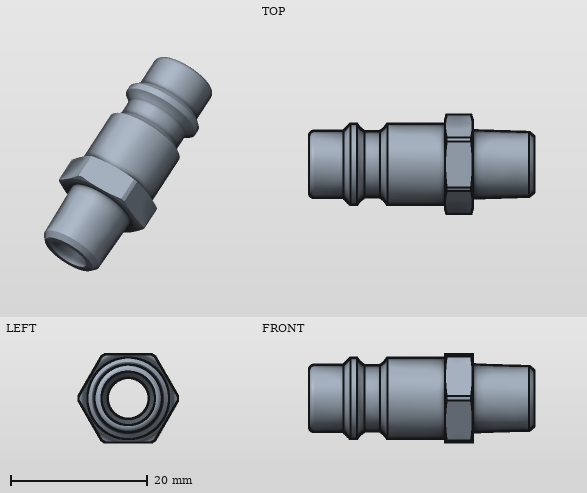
import cadquery as cq
import math

total_length = 33.15
flange_start = 5.07
flange_crest_start = 6.1
flange_crest_end = 7.03
groove_start = 8.15
groove_end = 10.45
body_start = 11.55
hex_start = 20.0
hex_end = 24.07

tip_diameter = 9.9
tip_round = 0.83
groove_diameter = 9.75
groove_ramp_hollow = 0.1
body_diameter = 12.0

hex_across_flats = 13.0
hex_corner_diameter = 14.65
hex_bevel_length = 0.23

taper_ratio = 1 / 16
taper_small_diameter = 9.55
end_bevel_length = 0.8
end_face_diameter = 8.2

through_bore_diameter = 6.0
plug_bore_diameter = 7.85
plug_bore_depth = hex_start
drill_point_angle = 118.0


def revolve_about_x(profile):
    """Turn a closed (x, radius) profile about the X axis."""
    return profile.close().revolve(360, (0, 0, 0), (1, 0, 0))


def make_turned_body():
    tip_radius = tip_diameter / 2
    body_radius = body_diameter / 2
    groove_radius = groove_diameter / 2
    taper_end = total_length - end_bevel_length
    taper_large_diameter = taper_small_diameter + taper_ratio * (taper_end - hex_end)
    arc_offset = tip_round * (1 - math.sqrt(0.5))
    profile = (
        cq.Workplane("XY")
        .lineTo(0, tip_radius - tip_round)
        .threePointArc((arc_offset, tip_radius - arc_offset), (tip_round, tip_radius))
        .lineTo(flange_start, tip_radius)
        .lineTo(flange_crest_start, body_radius)
        .lineTo(flange_crest_end, body_radius)
        .sagittaArc((groove_start, groove_radius), -groove_ramp_hollow)
        .lineTo(groove_end, groove_radius)
        .sagittaArc((body_start, body_radius), -groove_ramp_hollow)
        .lineTo(hex_end, body_radius)
        .lineTo(hex_end, taper_large_diameter / 2)
        .lineTo(taper_end, taper_small_diameter / 2)
        .lineTo(total_length, end_face_diameter / 2)
        .lineTo(total_length, 0)
    )
    return revolve_about_x(profile)


def make_hexagon():
    sharp_corner_diameter = hex_across_flats / math.cos(math.radians(30))
    prism = (
        cq.Workplane("YZ", origin=(hex_start, 0, 0))
        .polygon(6, sharp_corner_diameter)
        .extrude(hex_end - hex_start)
    )
    face_radius = hex_across_flats / 2
    corner_radius = hex_corner_diameter / 2
    turned_envelope = revolve_about_x(
        cq.Workplane("XY")
        .moveTo(hex_start, 0)
        .lineTo(hex_start, face_radius)
        .lineTo(hex_start + hex_bevel_length, corner_radius)
        .lineTo(hex_end - hex_bevel_length, corner_radius)
        .lineTo(hex_end, face_radius)
        .lineTo(hex_end, 0)
    )
    return prism.intersect(turned_envelope)


def make_bore():
    plug_radius = plug_bore_diameter / 2
    through_radius = through_bore_diameter / 2
    cone_length = (plug_radius - through_radius) / math.tan(math.radians(drill_point_angle / 2))
    profile = (
        cq.Workplane("XY")
        .lineTo(0, plug_radius)
        .lineTo(plug_bore_depth, plug_radius)
        .lineTo(plug_bore_depth + cone_length, through_radius)
        .lineTo(total_length, through_radius)
        .lineTo(total_length, 0)
    )
    return revolve_about_x(profile)


result = make_turned_body().union(make_hexagon()).cut(make_bore())